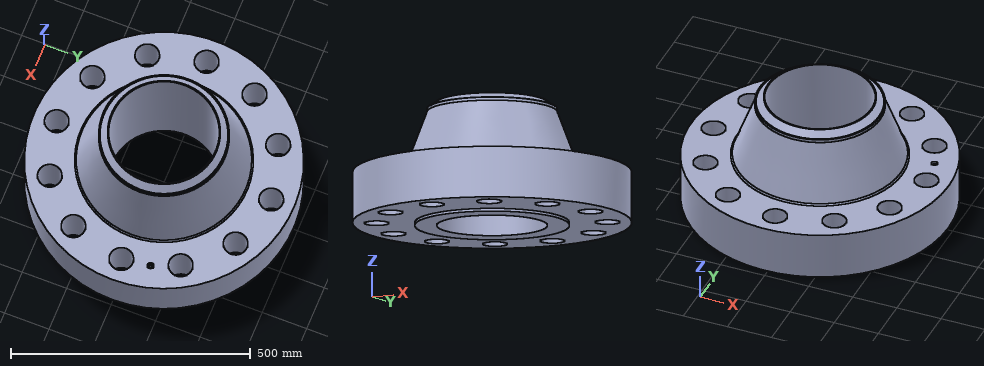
import cadquery as cq
import math

flange_radius = 292.0
raised_face_radius = 162.0
raised_face_height = 6.0
flange_thickness = 107.5
bore_radius = 115.5

overall_height = 260.5
hub_base_radius = 183.5
hub_chamfer = 3.5
weld_end_radius = 136.5
weld_land_height = 7.0
weld_bevel_height = 13.0
weld_tip_radius = 118.0
weld_step_width = 3.0

bolt_count = 12
bolt_circle_radius = 241.0
bolt_hole_diameter = 51.5

port_diameter = 13.5
counterbore_depth = 6.0
port_core_diameter = 6.0
port_core_depth = 23.5

flange_top = raised_face_height + flange_thickness
hub_base = flange_top + hub_chamfer
bevel_base = overall_height - weld_bevel_height
land_base = bevel_base - weld_land_height
port_angle = math.radians(360 / bolt_count / 2)


def make_body():
    """Revolve the half section of flange, hub and bevelled weld end about Z."""
    section = (
        cq.Workplane("XZ")
        .moveTo(bore_radius, 0)
        .lineTo(raised_face_radius, 0)
        .lineTo(raised_face_radius, raised_face_height)
        .lineTo(flange_radius, raised_face_height)
        .lineTo(flange_radius, flange_top)
        .lineTo(hub_base_radius + hub_chamfer, flange_top)
        .lineTo(hub_base_radius, hub_base)
        .lineTo(weld_end_radius, land_base)
        .lineTo(weld_end_radius, bevel_base)
        .lineTo(weld_end_radius - weld_step_width, bevel_base)
        .lineTo(weld_tip_radius, overall_height)
        .lineTo(bore_radius, overall_height)
        .close()
    )
    return section.revolve(axisStart=(0, 0), axisEnd=(0, 1))


def drill_bolt_holes(body):
    """Drill the ring of through holes, the first one on +X."""
    holes = (
        cq.Workplane("XY")
        .polarArray(bolt_circle_radius, startAngle=0, angle=360, count=bolt_count)
        .circle(bolt_hole_diameter / 2)
        .extrude(flange_top)
    )
    return body.cut(holes)


def drill_port(body):
    """Drill the blind counterbored hole half a bolt pitch round from +X."""
    port_x = bolt_circle_radius * math.cos(port_angle)
    port_y = bolt_circle_radius * math.sin(port_angle)
    top_plane = cq.Workplane("XY", origin=(port_x, port_y, flange_top))
    counterbore = top_plane.circle(port_diameter / 2).extrude(-counterbore_depth)
    core = top_plane.circle(port_core_diameter / 2).extrude(-port_core_depth)
    return body.cut(counterbore).cut(core)


result = drill_port(drill_bolt_holes(make_body()))